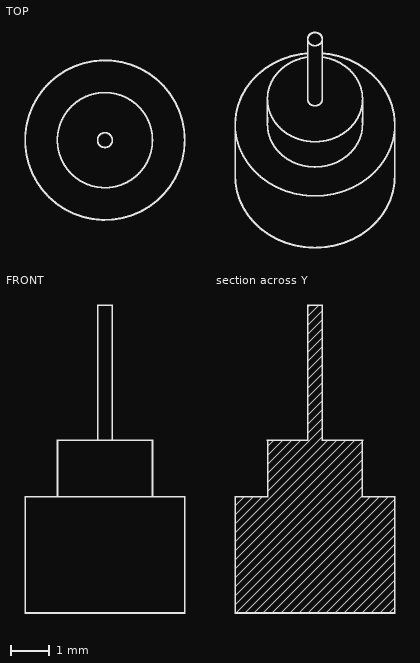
import cadquery as cq

total_height = 8.1
base_diameter = 4.2
base_height = 3.06
collar_diameter = 2.5
collar_height = 1.49
pin_diameter = 0.39
pin_height = total_height - base_height - collar_height


def add_cylinder(body, diameter, height):
    """Stack a concentric cylinder on the top face of the body."""
    return body.faces(">Z").workplane().circle(diameter / 2).extrude(height)


result = cq.Workplane("XY").circle(base_diameter / 2).extrude(base_height)

result = add_cylinder(result, collar_diameter, collar_height)
result = add_cylinder(result, pin_diameter, pin_height)